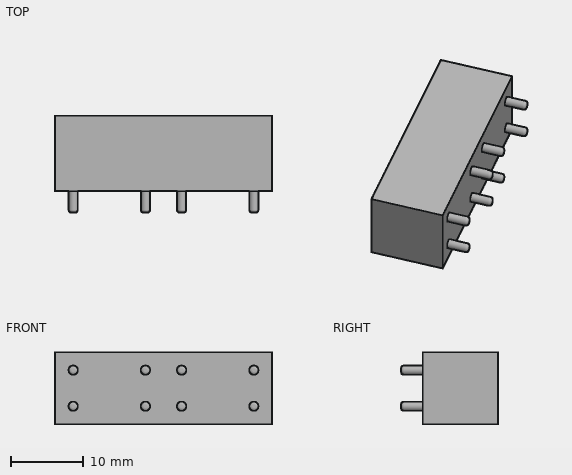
import cadquery as cq

body_length = 30.0
body_depth = 10.4
body_height = 10.0

pin_diameter = 1.3
pin_length = 3.0
pin_tip_fillet = 0.4

pin_pitch = body_height / 2
inner_pin_x = pin_pitch / 2
outer_pin_x = inner_pin_x + 2 * pin_pitch
row_z = pin_pitch / 2


def make_body():
    return cq.Workplane("XY").box(body_length, body_depth, body_height, centered=(True, False, True))


def make_pin(x, z):
    """Pin pointing toward -Y with a rounded tip."""
    pin = cq.Workplane("XZ").circle(pin_diameter / 2).extrude(pin_length)
    return pin.faces("<Y").edges().fillet(pin_tip_fillet).translate((x, 0, z))


result = make_body()
for pin_x in (-outer_pin_x, -inner_pin_x, inner_pin_x, outer_pin_x):
    for pin_z in (-row_z, row_z):
        result = result.union(make_pin(pin_x, pin_z))